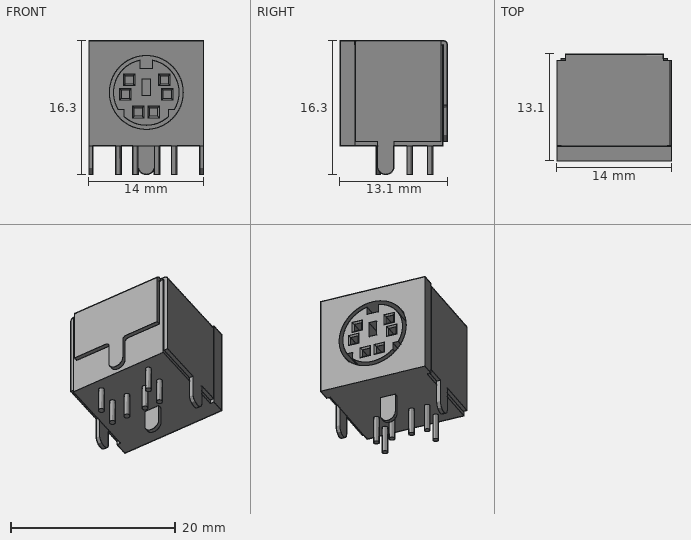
import cadquery as cq


width = 14.0
depth = 13.05
total_height = 16.31
leg_length = 3.49
height = total_height - leg_length

sheet = 0.5
tab_width = 2.0
tab_radius = tab_width / 2

bezel_depth = 1.8
block_width = width - 2 * sheet
block_height = height - sheet
flap_gap = 0.05
block_back = depth - sheet - flap_gap

bezel_gap = 0.07
shield_front = bezel_depth + bezel_gap
shield_back = 12.28
shield_bottom = 0.52
side_leg_y = 5.55
center_leg_front = 4.39
leg_overlap = 0.49

flap_width = 11.94
flap_shoulder_z = 5.0

opening_z = 6.5
opening_radius = 9.0 / 2
core_radius = 4.0
opening_depth = 6.52
top_key_width = 1.5
top_key_floor_z = 9.41
side_key_x = 2.69
side_key_z = 4.45

contact_holes = [
    (-2.07, 8.04),
    (2.2, 8.04),
    (-2.55, 6.28),
    (2.55, 6.28),
    (-0.98, 4.13),
    (0.9, 4.13),
]
hole_width = 1.0
hole_mouth_width = 1.42
hole_lead_in = (hole_mouth_width - hole_width) / 2
hole_depth = 6.52
slot_width = 1.0
slot_height = 1.99
slot_z = 7.15

pin_diameter = 0.7
pin_inner_x = 1.3
pin_outer_x = 3.4
front_row_y = 8.48
rear_row_y = 10.98


def block(x_size, y_start, y_end, z_start, z_end, x_center=0):
    """Box centred on x_center and spanning the given Y and Z ranges."""
    plan = cq.Workplane("XY").workplane(offset=z_start).center(x_center, (y_start + y_end) / 2)
    return plan.rect(x_size, y_end - y_start).extrude(z_end - z_start)


def front_disc(radius):
    """Cylinder round the opening axis, running back from the mating face."""
    return cq.Workplane("XZ").center(0, opening_z).circle(radius).extrude(-opening_depth)


def make_core():
    """Keyed core that stands in the opening, flush with the mating face."""
    core = front_disc(core_radius)
    core_top = opening_z + opening_radius
    core_bottom = opening_z - opening_radius
    core = core.cut(block(top_key_width, 0, opening_depth, top_key_floor_z, core_top))
    key_width = opening_radius - side_key_x
    for side in (-1, 1):
        key_x = side * (side_key_x + key_width / 2)
        core = core.cut(block(key_width, 0, opening_depth, core_bottom, side_key_z, key_x))
    return core


def make_contact_hole(x, z):
    """Square hole with a tapered lead-in at its mouth."""
    hole = cq.Workplane("XZ").center(x, z).rect(hole_width, hole_width).extrude(-hole_depth)
    mouth = (
        cq.Workplane("XZ")
        .center(x, z)
        .rect(hole_mouth_width, hole_mouth_width)
        .workplane(offset=-hole_lead_in)
        .rect(hole_width, hole_width)
        .loft(ruled=True)
    )
    return hole.union(mouth)


def make_housing():
    housing = block(width, 0, bezel_depth, 0, height)
    housing = housing.union(block(block_width, 0, block_back, 0, block_height))
    housing = housing.cut(front_disc(opening_radius)).union(make_core())
    for x, z in contact_holes:
        housing = housing.cut(make_contact_hole(x, z))
    slot_bottom = slot_z - slot_height / 2
    return housing.cut(block(slot_width, 0, hole_depth, slot_bottom, slot_bottom + slot_height))


def make_shield():
    """Top and side walls of the shield, with rounded top folds."""
    cover = block(width, shield_front, shield_back, shield_bottom, height)
    cover = cover.edges("|Y and >Z").fillet(sheet)
    return cover.cut(block(block_width, 0, depth, 0, block_height))


def round_tab(plane, center, top, bottom, offset):
    """Round-ended sheet-metal tab drawn on a vertical plane and hanging down from top to bottom."""
    arc_z = bottom + tab_radius
    return (
        cq.Workplane(plane)
        .workplane(offset=offset)
        .moveTo(center - tab_radius, top)
        .lineTo(center - tab_radius, arc_z)
        .threePointArc((center, bottom), (center + tab_radius, arc_z))
        .lineTo(center + tab_radius, top)
        .close()
        .extrude(sheet)
    )


def make_legs():
    """One leg below each side wall and one below the middle of the housing."""
    side_leg_top = shield_bottom + leg_overlap
    legs = round_tab("XZ", 0, leg_overlap, -leg_length, -center_leg_front - sheet)
    for outer_face in (-width / 2, width / 2 - sheet):
        legs = legs.union(round_tab("YZ", side_leg_y, side_leg_top, -leg_length, outer_face))
    return legs


def make_back_flap():
    """Strip folded down from the top wall, narrowing with filleted corners to a round tongue."""
    flap_inside = depth - sheet
    strip = block(flap_width, shield_back, depth, flap_shoulder_z, height)
    strip = strip.edges(">Y and >Z").fillet(sheet)
    strip = strip.cut(block(flap_width, shield_back, flap_inside, flap_shoulder_z, block_height))
    flap = strip.union(round_tab("XZ", 0, flap_shoulder_z, shield_bottom, -depth))
    for side in (-1, 1):
        corner_x = side * (tab_radius + sheet / 2)
        corner = block(sheet, flap_inside, depth, flap_shoulder_z - sheet, flap_shoulder_z, corner_x)
        relief = (
            cq.Workplane("XZ", origin=(0, flap_inside, 0))
            .center(side * (tab_radius + sheet), flap_shoulder_z - sheet)
            .circle(sheet)
            .extrude(-sheet)
        )
        flap = flap.union(corner.cut(relief))
    return flap


def make_pins():
    """Four pins in the front row and two in the rear row."""
    front_row = [(x, front_row_y) for x in (-pin_outer_x, -pin_inner_x, pin_inner_x, pin_outer_x)]
    rear_row = [(x, rear_row_y) for x in (-pin_outer_x, pin_outer_x)]
    plane = cq.Workplane("XY").workplane(offset=-leg_length)
    return plane.pushPoints(front_row + rear_row).circle(pin_diameter / 2).extrude(leg_length)


result = make_housing()
for piece in (make_shield(), make_legs(), make_back_flap(), make_pins()):
    result = result.union(piece)